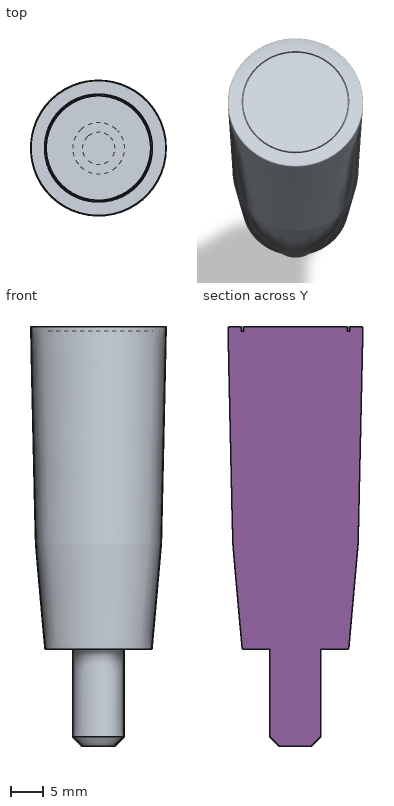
import cadquery as cq

total_height = 65.0
body_bottom = 15.0
seam_height = 31.45

pin_radius = 8.0 / 2
body_bottom_radius = 16.6 / 2
seam_radius = 19.5 / 2
body_top_radius = 21.0 / 2

pin_chamfer = 1.5
bottom_fillet = 0.3
top_fillet = 0.2

groove_outer_radius = 16.7 / 2
groove_width = 0.25
groove_depth = 0.65


def make_pin():
    """Plain pin with a chamfered tip, ending at the underside of the grip."""
    return cq.Workplane("XY").circle(pin_radius).extrude(body_bottom).faces("<Z").chamfer(pin_chamfer)


def make_grip():
    """Grip of two cones that meet at the seam, with rounded end edges."""
    grip = (
        cq.Workplane("XZ")
        .moveTo(0, body_bottom)
        .lineTo(body_bottom_radius, body_bottom)
        .lineTo(seam_radius, seam_height)
        .lineTo(body_top_radius, total_height)
        .lineTo(0, total_height)
        .close()
        .revolve(360, (0, 0, 0), (0, 1, 0))
    )
    return grip.faces("<Z").edges().fillet(bottom_fillet).faces(">Z").edges().fillet(top_fillet)


def make_cap_groove():
    """Ring cut from the top face, leaving the cap disc inside it."""
    return (
        cq.Workplane("XY", origin=(0, 0, total_height - groove_depth))
        .circle(groove_outer_radius)
        .circle(groove_outer_radius - groove_width)
        .extrude(groove_depth)
    )


result = make_grip().union(make_pin()).cut(make_cap_groove())